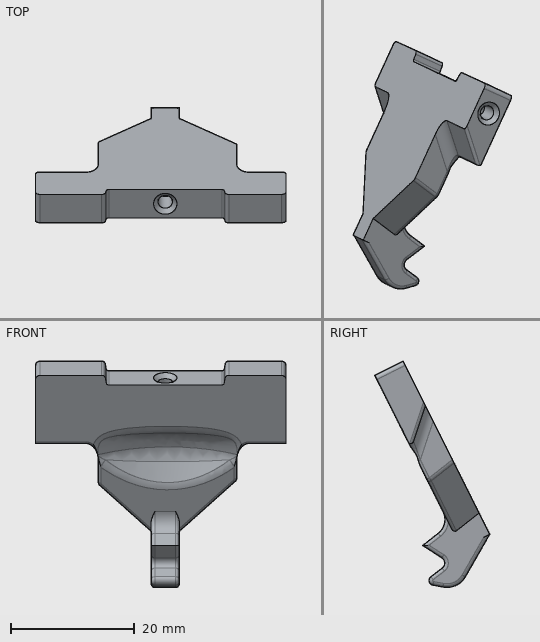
import cadquery as cq
import math

TILT = 26.6

LENGTH = 40.55
THICKNESS = 5.15
HEIGHT = 31.35
TOP_END_ROUND = 0.77

CENTRE_X = 0.75
NOTCH_WIDTH = 19.27
NOTCH_DEPTH = 1.75
NOTCH_DRAFT = 0.3
NOTCH_LIP_ROUND = 0.6
NOTCH_ROOT_ROUND = 0.4

HOLE_DIAMETER = 2.3
SINK_DIAMETER = 3.77
SINK_DEPTH = (SINK_DIAMETER - HOLE_DIAMETER) / 2
HOLE_DEPTH = 4.85
END_HOLE_DOWN = 4.18

WING_DOWN = 8.07
WING_SLOPE = math.tan(math.radians(45))
WING_END_ROUND = 0.5
WING_FILLET = 2.0

TONGUE_X = 1.1
TONGUE_WIDTH = 22.48
SHOULDER_END_DOWN = 27.5
SHOULDER_ROUND = 0.8
FALL = math.tan(math.radians(11.5))
FRONT_EDGE_ROUND = 0.5

HOOK_WIDTH = 4.6
HOOK_ROUND = 0.6
HOOK_START_DOWN = 24.35
BARB_TIP = (10.55, 28.1)
BARB_ROOT = (7.95, 32.55)
LIP_TIP = (13.3, 33.55)
HEEL = (8.7, 37.12)
BARB_FILLET = 2.85
ROOT_FILLET = 1.0
LIP_FILLET = 0.77
HEEL_FILLET = 3.45

SCOOP_DOWN = 14.5
SCOOP_AXIS_LIFT = 1.0
SCOOP_RADIUS = 4.05
SCOOP_BULGE_RADIUS = 24.15
SCOOP_RAMP = math.radians(35)
SCOOP_HALF_LENGTH = 12.58
SCOOP_SECTIONS = 9
SCOOP_RIM_ROUND = 2.0

MARGIN = 8.1
TOLERANCE = 0.05


def side_profile(points, x_start, x_end):
    """Solid between two X positions from (forward, down) corner points."""
    corners = [(-forward, -down) for forward, down in points]
    plane = cq.Workplane("YZ", origin=(x_start, 0, 0))
    return plane.polyline(corners).close().extrude(x_end - x_start)


def round_edge(solid, point, radius):
    """Round the edge whose middle is nearest to an (x, y, z) point."""
    return solid.edges(cq.selectors.NearestToPointSelector(point)).fillet(radius)


def make_slab():
    """Full-size block with the notch in its top edge."""
    block = side_profile(
        [(0, 0), (THICKNESS, 0), (THICKNESS, HEIGHT), (0, HEIGHT)], -LENGTH / 2, LENGTH / 2
    )
    lip = (NOTCH_WIDTH + NOTCH_DRAFT) / 2
    floor = (NOTCH_WIDTH - NOTCH_DRAFT) / 2
    notch = (
        cq.Workplane("XZ", origin=(CENTRE_X, 0, 0))
        .polyline([(-lip, 0), (-floor, -NOTCH_DEPTH), (floor, -NOTCH_DEPTH), (lip, 0)])
        .close()
        .extrude(THICKNESS)
    )
    slab = block.cut(notch)
    middle = -THICKNESS / 2
    for side in (-1, 1):
        slab = round_edge(slab, (side * LENGTH / 2, middle, 0), TOP_END_ROUND)
        slab = round_edge(slab, (CENTRE_X + side * lip, middle, 0), NOTCH_LIP_ROUND)
        slab = round_edge(slab, (CENTRE_X + side * floor, middle, -NOTCH_DEPTH), NOTCH_ROOT_ROUND)
    return slab


def cut_wing(plate, side):
    """Remove the region below one wing, beside the tongue."""
    tongue_x = TONGUE_X + side * TONGUE_WIDTH / 2
    end_x = side * LENGTH / 2
    front_down = WING_DOWN + THICKNESS * WING_SLOPE
    below = side_profile(
        [(0, WING_DOWN), (THICKNESS, front_down), (THICKNESS, HEIGHT), (0, HEIGHT)], tongue_x, end_x
    )
    middle = (-THICKNESS / 2, -(WING_DOWN + front_down) / 2)
    plate = plate.cut(below)
    return round_edge(plate, (tongue_x, *middle), WING_FILLET)


def cut_shoulder(plate, side):
    """Slant the tongue at 45 degrees down to the width of the hook."""
    tongue_x = TONGUE_X + side * TONGUE_WIDTH / 2
    hook_x = CENTRE_X + side * HOOK_WIDTH / 2
    start_down = SHOULDER_END_DOWN - abs(tongue_x - hook_x)
    bottom = -HEIGHT - MARGIN
    corners = [
        (hook_x, 0, bottom),
        (hook_x, 0, -SHOULDER_END_DOWN),
        (tongue_x, 0, -start_down),
        (tongue_x, 0, bottom),
    ]
    outline = cq.Wire.makePolygon([cq.Vector(*corner) for corner in corners], close=True)
    depth = cq.Vector(0, -THICKNESS, -THICKNESS * FALL)
    plate = plate.cut(cq.Workplane(cq.Solid.extrudeLinear(outline, [], depth)))
    middle = (tongue_x, -THICKNESS / 2, -start_down - FALL * THICKNESS / 2)
    return round_edge(plate, middle, SHOULDER_ROUND)


def round_front_edges(plate):
    """Round the front outline of the wings' undersides, the tongue and the shoulders."""
    outline = cq.selectors.BoxSelector(
        (0.4 - LENGTH / 2, -THICKNESS - TOLERANCE, -SHOULDER_END_DOWN - 0.4),
        (LENGTH / 2 - 0.4, -THICKNESS + TOLERANCE, -WING_DOWN),
    )
    return plate.faces("<Y").edges(outline).fillet(FRONT_EDGE_ROUND)


def round_wing_end(plate, side):
    """Round the underside of one wing at its outer end."""
    middle_down = WING_DOWN + THICKNESS * WING_SLOPE / 2
    return round_edge(plate, (side * LENGTH / 2, -THICKNESS / 2, -middle_down), WING_END_ROUND)


def make_hook():
    """Hook with a barb on top and a lip below, rounded along both side faces."""
    barb_base = (THICKNESS, BARB_TIP[1] - FALL * (BARB_TIP[0] - THICKNESS))
    hook = side_profile(
        [
            (0, HOOK_START_DOWN),
            (THICKNESS, HOOK_START_DOWN),
            barb_base,
            BARB_TIP,
            BARB_ROOT,
            LIP_TIP,
            HEEL,
            (0, HEIGHT),
        ],
        CENTRE_X - HOOK_WIDTH / 2,
        CENTRE_X + HOOK_WIDTH / 2,
    )
    rounded_corners = [
        (barb_base, BARB_FILLET),
        (BARB_ROOT, ROOT_FILLET),
        (LIP_TIP, LIP_FILLET),
        (HEEL, HEEL_FILLET),
    ]
    for (forward, down), radius in rounded_corners:
        hook = round_edge(hook, (CENTRE_X, -forward, -down), radius)
    return hook.faces("<X or >X").edges("not(>Y or >Z)").fillet(HOOK_ROUND)


def scoop_section(offset):
    """Closed cross-section of the scoop at a distance from the middle of the tongue.

    A straight ramp leads into a round bottom; above the axis the section is elliptical,
    so that the upper rim stays nearly straight while the barrel gets shallower.
    """
    sagitta = SCOOP_BULGE_RADIUS - math.sqrt(SCOOP_BULGE_RADIUS**2 - offset**2)
    radius = SCOOP_RADIUS - sagitta
    ramp_end = (radius * math.cos(SCOOP_RAMP), -radius * math.sin(SCOOP_RAMP))
    halfway = (radius * math.cos(SCOOP_RAMP / 2), -radius * math.sin(SCOOP_RAMP / 2))
    upper = [
        (radius * math.cos(math.radians(angle)), SCOOP_RADIUS * math.sin(math.radians(angle)))
        for angle in (30, 60, 90)
    ]
    axis = (TONGUE_X + offset, -THICKNESS - SCOOP_AXIS_LIFT, -SCOOP_DOWN)
    return (
        cq.Workplane("YZ", origin=axis)
        .moveTo(0, -radius / math.sin(SCOOP_RAMP))
        .lineTo(*ramp_end)
        .threePointArc(halfway, (radius, 0))
        .spline(upper, tangents=[(0, 1), (-1, 0)], includeCurrent=True)
        .close()
        .wire()
        .val()
    )


def make_scoop():
    """Loft of the cross-sections along the scoop."""
    step = 2 * SCOOP_HALF_LENGTH / (SCOOP_SECTIONS - 1)
    sections = [scoop_section(-SCOOP_HALF_LENGTH + i * step) for i in range(SCOOP_SECTIONS)]
    return cq.Workplane(cq.Solid.makeLoft(sections))


def cut_scoop(slab):
    """Sink the scoop into the front face and round its rim."""
    rim_area = cq.selectors.BoxSelector(
        (TONGUE_X - SCOOP_HALF_LENGTH, -THICKNESS - TOLERANCE, -HEIGHT + 2.03),
        (TONGUE_X + SCOOP_HALF_LENGTH, -THICKNESS + TOLERANCE, -WING_DOWN),
    )
    return slab.cut(make_scoop()).faces("<Y").edges(rim_area).fillet(SCOOP_RIM_ROUND)


def make_hole():
    """Countersunk blind hole entering downwards at the origin."""
    hole = cq.Workplane("XY").circle(HOLE_DIAMETER / 2).extrude(-HOLE_DEPTH)
    sink_bottom = cq.Vector(0, 0, -SINK_DEPTH)
    sink = cq.Solid.makeCone(HOLE_DIAMETER / 2, SINK_DIAMETER / 2, SINK_DEPTH, pnt=sink_bottom)
    return hole.union(cq.Workplane(sink))


slab = make_slab()

plate = slab
for side in (-1, 1):
    plate = cut_wing(plate, side)
wings = plate
for side in (-1, 1):
    plate = cut_shoulder(plate, side)
    wings = round_wing_end(wings, side)
plate = round_front_edges(plate).intersect(wings).intersect(cut_scoop(slab))

below_heel = side_profile([(0, HEIGHT), HEEL, (0, HEEL[1])], -LENGTH / 2, LENGTH / 2)
body = plate.cut(below_heel).union(make_hook())

hole = make_hole()
middle = -THICKNESS / 2
body = body.cut(hole.translate((CENTRE_X, middle, -NOTCH_DEPTH)))
end_hole = hole.rotate((0, 0, 0), (0, 1, 0), -90)
body = body.cut(end_hole.translate((-LENGTH / 2, middle, -END_HOLE_DOWN)))

result = body.rotate((0, 0, 0), (1, 0, 0), TILT)